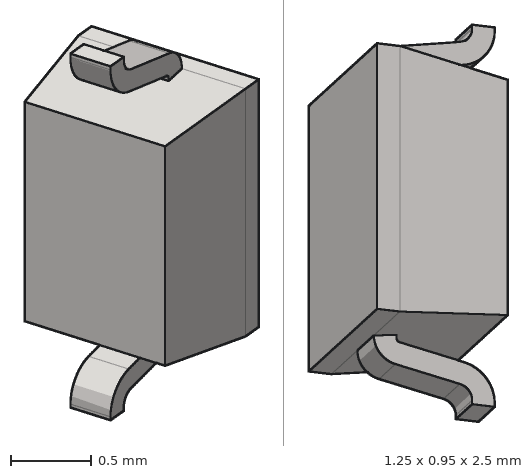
import cadquery as cq
import math

total_length = 2.5
total_depth = 0.95

housing_width = 1.25
housing_length = 1.75
slab_depth = 0.15
taper_depth = 0.75
taper_inset = 0.1

lead_width = 0.3
lead_thickness = 0.15
root_inner_radius = 0.025
tip_inner_radius = 0.1
tip_straight = 0.025

back_y = total_depth / 2
parting_y = back_y - slab_depth
tip_front_y = -total_depth / 2
root_z = housing_length / 2
tip_z = total_length / 2
root_outer_radius = root_inner_radius + lead_thickness
tip_outer_radius = tip_inner_radius + lead_thickness

root_center = (parting_y - root_outer_radius, root_z)
tip_center = (tip_front_y + tip_outer_radius, tip_z - tip_straight)

center_run = root_center[0] - tip_center[0]
center_rise = tip_center[1] - root_center[1]
center_distance = math.hypot(center_run, center_rise)
arm_angle = math.atan2(center_rise, center_run) - math.asin(
    (root_outer_radius + tip_inner_radius) / center_distance
)


def on_arc(center, radius, angle):
    """Point on a bend; the angle is measured from +Y towards +Z."""
    return (center[0] + radius * math.cos(angle), center[1] + radius * math.sin(angle))


def make_housing():
    slab = (
        cq.Workplane("XZ", origin=(0, back_y, 0))
        .rect(housing_width, housing_length)
        .extrude(slab_depth)
    )
    tapered_front = (
        cq.Workplane("XZ", origin=(0, parting_y, 0))
        .rect(housing_width, housing_length)
        .workplane(offset=taper_depth)
        .rect(housing_width - 2 * taper_inset, housing_length - 2 * taper_inset)
        .loft(ruled=True)
    )
    return slab.union(tapered_front, clean=False)


def make_upper_lead():
    root_end = math.pi / 2 - arm_angle
    root_middle = root_end / 2
    tip_end = 3 * math.pi / 2 - arm_angle
    tip_middle = (math.pi + tip_end) / 2

    root_drop = lead_thickness * taper_inset / taper_depth
    inner_root = (parting_y - lead_thickness, root_z - root_drop)

    return (
        cq.Workplane("YZ", origin=(-lead_width / 2, 0, 0))
        .moveTo(parting_y, root_z)
        .threePointArc(
            on_arc(root_center, root_outer_radius, root_middle),
            on_arc(root_center, root_outer_radius, root_end),
        )
        .lineTo(*on_arc(tip_center, tip_inner_radius, tip_end))
        .threePointArc(
            on_arc(tip_center, tip_inner_radius, tip_middle),
            on_arc(tip_center, tip_inner_radius, math.pi),
        )
        .lineTo(tip_front_y + lead_thickness, tip_z)
        .lineTo(tip_front_y, tip_z)
        .lineTo(tip_front_y, tip_center[1])
        .threePointArc(
            on_arc(tip_center, tip_outer_radius, tip_middle),
            on_arc(tip_center, tip_outer_radius, tip_end),
        )
        .lineTo(*on_arc(root_center, root_inner_radius, root_end))
        .threePointArc(
            on_arc(root_center, root_inner_radius, root_middle),
            on_arc(root_center, root_inner_radius, 0),
        )
        .lineTo(*inner_root)
        .close()
        .extrude(lead_width)
    )


def make_leads():
    """One lead at each end of the housing, the lower mirroring the upper."""
    upper_lead = make_upper_lead()
    return [upper_lead.val(), upper_lead.mirror("XY").val()]


housing = make_housing()
leads = make_leads()
result = cq.Compound.makeCompound([housing.val(), *leads])